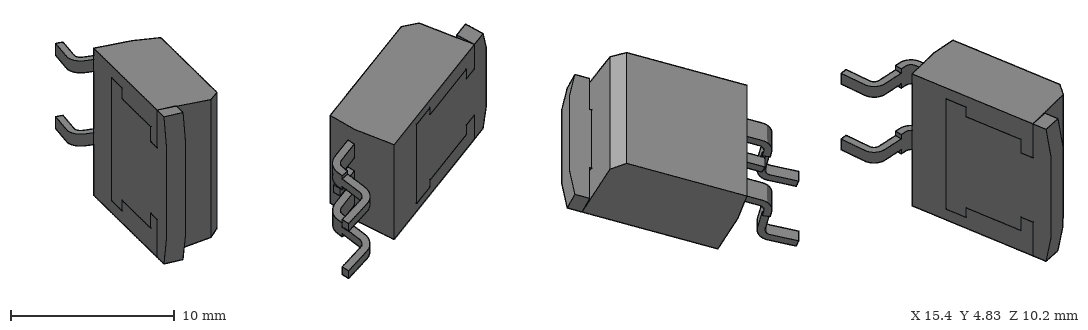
import cadquery as cq
import math

LENGTH = 15.43
WIDTH = 10.2

HOUSING_HEIGHT = 4.61
PARTING_Y = 2.75
LEAD_FACE_FOOT_X = 5.18
LEAD_FACE_PARTING_X = 4.94
LEAD_FACE_TOP_X = 5.08
TAB_FACE_X = 14.1
TAB_FACE_TOP_X = 13.76
BACK_CHAMFER = 0.79
SIDE_DRAFT = 0.39

TAB_THICKNESS = 1.3
TAB_CORNER_X = 15.08
TAB_END_HALF_WIDTH = 3.16
NECK_X = 13.21
NECK_HALF_WIDTH = 2.48
PAD_HALF_WIDTH = 3.52
PAD_HEAD_X = 9.18
PAD_HEAD_HALF_WIDTH = 4.26
PAD_START_X = 7.68

LEAD_THICKNESS = 0.5
LEAD_TOP_Y = PARTING_Y + LEAD_THICKNESS
LEAD_PITCH = 5.08
LEAD_WIDE = 1.5
LEAD_NARROW = 0.83
INNER_RADIUS = 0.43
OUTER_RADIUS = INNER_RADIUS + LEAD_THICKNESS
UPPER_BEND_X = 3.53
LOWER_BEND_Y = 0.71
LEG_TILT = 9.3
FOOT_TILT = 4.0
WIDE_LEG_LENGTH = 0.4
STUB_X = 3.36
STUB_WIDTH = 0.8


def polar(center, radius, degrees):
    """Point at a given radius and angle around a centre."""
    angle = math.radians(degrees)
    return (center[0] + radius * math.cos(angle), center[1] + radius * math.sin(angle))


def centered_prism(outline, width):
    """Closed XY outline extruded by width, centred on Z = 0."""
    return outline.close().extrude(width / 2, both=True)


def make_mould():
    """Housing envelope: side profile trimmed by the drafted end walls."""
    profile = cq.Workplane("XY").polyline([
        (LEAD_FACE_FOOT_X, 0),
        (TAB_FACE_X, 0),
        (TAB_FACE_TOP_X, HOUSING_HEIGHT - BACK_CHAMFER),
        (TAB_FACE_TOP_X - BACK_CHAMFER, HOUSING_HEIGHT),
        (LEAD_FACE_TOP_X, HOUSING_HEIGHT),
        (LEAD_FACE_PARTING_X, PARTING_Y),
    ])
    half_width = WIDTH / 2
    half_top = half_width - SIDE_DRAFT
    draft = (
        cq.Workplane("YZ")
        .polyline([
            (0, -half_width),
            (HOUSING_HEIGHT, -half_top),
            (HOUSING_HEIGHT, half_top),
            (0, half_width),
        ])
        .close()
        .extrude(LENGTH)
    )
    return centered_prism(profile, WIDTH).intersect(draft)


def make_tab():
    """Stepped plate, symmetric about Z = 0, flush with the mounting face."""
    upper_edge = [
        (PAD_START_X, PAD_HEAD_HALF_WIDTH),
        (PAD_HEAD_X, PAD_HEAD_HALF_WIDTH),
        (PAD_HEAD_X, PAD_HALF_WIDTH),
        (NECK_X, PAD_HALF_WIDTH),
        (NECK_X, NECK_HALF_WIDTH),
        (TAB_FACE_X, NECK_HALF_WIDTH),
        (TAB_FACE_X, WIDTH / 2),
        (TAB_CORNER_X, WIDTH / 2),
        (LENGTH, TAB_END_HALF_WIDTH),
    ]
    lower_edge = [(x, -z) for x, z in reversed(upper_edge)]
    return cq.Workplane("XZ").polyline(upper_edge + lower_edge).close().extrude(-TAB_THICKNESS)


def make_lead(z, mould):
    """Gull-wing lead: wide shoulder and upper bend, narrow leg and foot."""
    upper_center = (UPPER_BEND_X, LEAD_TOP_Y - OUTER_RADIUS)
    leg_angle = 180 - LEG_TILT
    bend_outer = polar(upper_center, OUTER_RADIUS, leg_angle)
    bend_inner = polar(upper_center, INNER_RADIUS, leg_angle)
    bend_mid_angle = (90 + leg_angle) / 2
    leg_direction = leg_angle + 90
    wide_outer = polar(bend_outer, WIDE_LEG_LENGTH, leg_direction)
    wide_inner = polar(bend_inner, WIDE_LEG_LENGTH, leg_direction)

    shoulder = (
        cq.Workplane("XY")
        .moveTo(LEAD_FACE_FOOT_X, LEAD_TOP_Y)
        .lineTo(UPPER_BEND_X, LEAD_TOP_Y)
        .threePointArc(polar(upper_center, OUTER_RADIUS, bend_mid_angle), bend_outer)
        .lineTo(*wide_outer)
        .lineTo(*wide_inner)
        .lineTo(*bend_inner)
        .threePointArc(
            polar(upper_center, INNER_RADIUS, bend_mid_angle),
            (UPPER_BEND_X, PARTING_Y),
        )
        .lineTo(LEAD_FACE_FOOT_X, PARTING_Y)
    )

    drop = upper_center[1] - LOWER_BEND_Y
    tilt = math.radians(LEG_TILT)
    span = (OUTER_RADIUS + INNER_RADIUS) / math.cos(tilt) + drop * math.tan(tilt)
    lower_center = (UPPER_BEND_X - span, LOWER_BEND_Y)
    foot_angle = -90 - FOOT_TILT
    lower_mid_angle = (foot_angle - LEG_TILT) / 2
    foot_bottom = polar(lower_center, OUTER_RADIUS, foot_angle)
    foot_top = polar(lower_center, INNER_RADIUS, foot_angle)
    foot_length = foot_bottom[0] / math.cos(math.radians(FOOT_TILT))
    foot_direction = 180 - FOOT_TILT

    leg = (
        cq.Workplane("XY")
        .moveTo(*wide_outer)
        .lineTo(*polar(lower_center, INNER_RADIUS, -LEG_TILT))
        .threePointArc(polar(lower_center, INNER_RADIUS, lower_mid_angle), foot_top)
        .lineTo(*polar(foot_top, foot_length, foot_direction))
        .lineTo(*polar(foot_bottom, foot_length, foot_direction))
        .lineTo(*foot_bottom)
        .threePointArc(
            polar(lower_center, OUTER_RADIUS, lower_mid_angle),
            polar(lower_center, OUTER_RADIUS, -LEG_TILT),
        )
        .lineTo(*wide_inner)
    )
    lead = centered_prism(shoulder, LEAD_WIDE).union(centered_prism(leg, LEAD_NARROW))
    return lead.translate((0, 0, z)).cut(mould)


def make_stub(mould):
    """Cropped centre lead, ending on the housing face."""
    bar = cq.Workplane("XY").box(
        LEAD_FACE_FOOT_X - STUB_X, LEAD_THICKNESS, STUB_WIDTH, centered=(False, False, True)
    )
    return bar.translate((STUB_X, PARTING_Y, 0)).cut(mould)


mould_body = make_mould()
tab = make_tab()
housing = mould_body.cut(tab)
leads = [make_lead(side * LEAD_PITCH / 2, mould_body) for side in (-1, 1)]
stub = make_stub(mould_body)

result = cq.Compound.makeCompound([
    housing.solids().val(),
    tab.solids().val(),
    *[lead.solids().val() for lead in leads],
    stub.solids().val(),
])